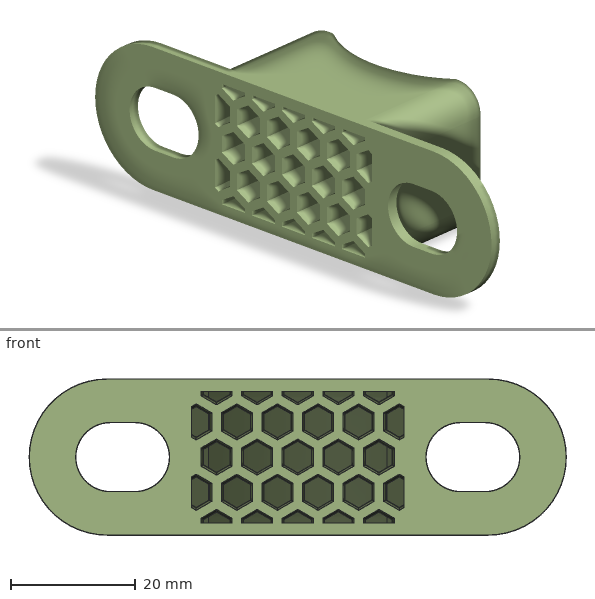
import cadquery as cq
import math

plate_length = 86.0
height = 25.0
plate_thickness = 2.0

slot_length = 15.0
slot_width = 11.0
slot_offset = 28.0

block_width = 38.0
total_depth = 24.5
block_corner_radius = 5.0
rim_radius = 1.5

saddle_radius = 22.0
saddle_depth = 4.5
saddle_axis_y = total_depth + saddle_radius - saddle_depth

side_wall = 2.0
back_wall = 3.0
hex_sides = 6
hex_across_flats = 5.0
half_rib = 0.76
hex_draft_angle = 1.0
hex_pitch = hex_across_flats + 2 * half_rib
hex_row_pitch = hex_pitch * math.cos(math.pi / hex_sides)
hex_across_corners = hex_across_flats / math.cos(math.pi / hex_sides)
outer_row = 2
even_row_count = 5
odd_row_count = 6


def front_plane():
    """Sketch plane on the front face; negative extrusions go back, toward +Y."""
    return cq.Workplane("XZ")


def make_plate():
    plate = front_plane().slot2D(plate_length, height).extrude(-plate_thickness)
    slots = (
        front_plane()
        .pushPoints([(-slot_offset, 0), (slot_offset, 0)])
        .slot2D(slot_length, slot_width)
        .extrude(-plate_thickness)
    )
    return plate.cut(slots)


def saddle_cylinder(radius):
    return cq.Workplane("XY").center(0, saddle_axis_y).circle(radius).extrude(height / 2, both=True)


def make_saddle_cutter():
    """Spool turned about the saddle axis: its flared ends round over the saddle's end edges."""
    half_height = height / 2
    flare_start = half_height - rim_radius
    flare_radius = saddle_radius + rim_radius
    flare_middle = (
        flare_radius - rim_radius * math.sqrt(0.5),
        flare_start + rim_radius * math.sqrt(0.5),
    )
    half_spool = (
        cq.Workplane("XZ", origin=(0, saddle_axis_y, 0))
        .lineTo(saddle_radius, 0)
        .lineTo(saddle_radius, flare_start)
        .threePointArc(flare_middle, (flare_radius, half_height))
        .lineTo(0, half_height)
        .close()
        .revolve(360, (0, 0, 0), (0, 1, 0))
    )
    return half_spool.union(half_spool.mirror("XY"))


def make_block():
    block = front_plane().rect(block_width, height).extrude(-total_depth)
    block = block.edges("|Y").fillet(block_corner_radius)
    block = block.faces(">Y").edges().fillet(rim_radius)
    return block.cut(make_saddle_cutter())


def hex_centers():
    """Staggered rows of hexagon centres, each row centred on X = 0."""
    centers = []
    for row in range(-outer_row, outer_row + 1):
        count = even_row_count if row % 2 == 0 else odd_row_count
        for index in range(count):
            x = (index - (count - 1) / 2) * hex_pitch
            centers.append((x, row * hex_row_pitch))
    return centers


def make_honeycomb():
    """Hexagonal prisms, narrowing to the back, trimmed to the cavity inside the block's walls."""
    cavity = (
        front_plane()
        .rect(block_width - 2 * side_wall, height - 2 * side_wall)
        .extrude(-(total_depth - back_wall))
        .cut(saddle_cylinder(saddle_radius + back_wall))
    )
    corner_up_plane = cq.Plane(origin=(0, 0, 0), xDir=(0, 0, 1), normal=(0, 1, 0))
    prisms = (
        cq.Workplane(corner_up_plane)
        .pushPoints([(z, x) for x, z in hex_centers()])
        .polygon(hex_sides, hex_across_corners)
        .extrude(total_depth, taper=hex_draft_angle)
    )
    return prisms.intersect(cavity)


result = make_plate().union(make_block()).cut(make_honeycomb())